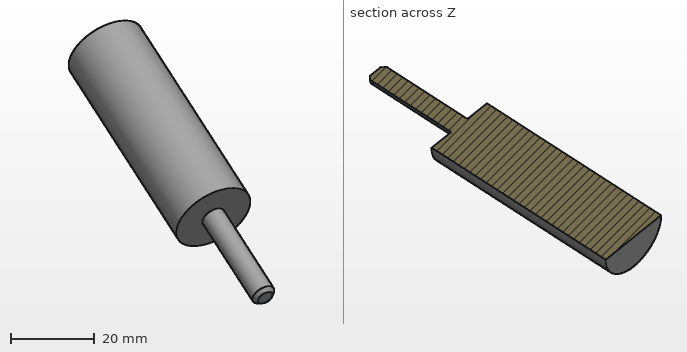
import cadquery as cq

total_length = 83.0
body_length = 56.0
body_diameter = 20.0
pin_diameter = 6.0
tip_chamfer = 1.0

pin_length = total_length - body_length

body = cq.Workplane("YZ").circle(body_diameter / 2).extrude(body_length)

pin = (
    cq.Workplane("YZ")
    .workplane(offset=body_length)
    .circle(pin_diameter / 2)
    .extrude(pin_length)
    .faces(">X")
    .chamfer(tip_chamfer)
)

result = body.union(pin)